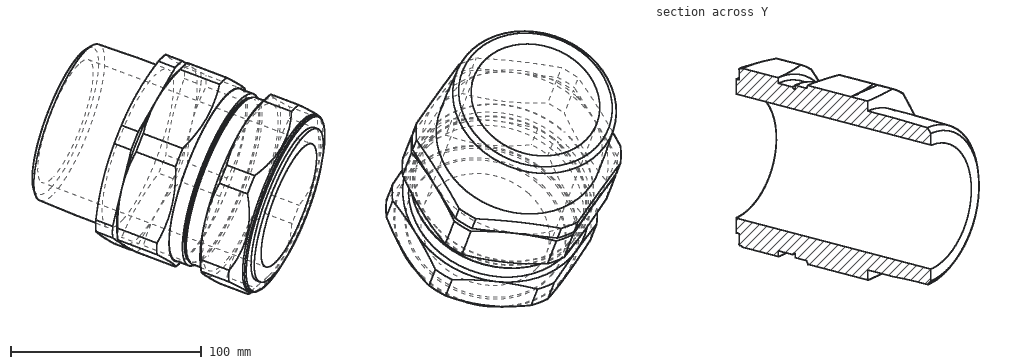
import cadquery as cq
import math


TOTAL_LENGTH = 129.5
TAPER_END = 25.0
FLANGE_START = 41.9
BODY_NUT_START = 53.0
BODY_NUT_END = 82.7
COLLAR_END = 90.3
NECK_CHAMFER_LENGTH = 1.0
NECK_START = 92.0
CAP_NUT_START = 101.3
CAP_NUT_END = 127.6

BORE_DIAMETER = 69.0
SPIGOT_DIAMETER = 89.0
TAPER_TIP_DIAMETER = 87.8
TIP_CHAMFER_LENGTH = 2.3
TIP_FACE_DIAMETER = 82.4

COLLAR_DIAMETER = 96.5
NECK_DIAMETER = 93.8
GROOVE_DIAMETER = NECK_DIAMETER - 2 * NECK_CHAMFER_LENGTH
SEAL_DIAMETER = 86.0

HEXAGON_SIDES = 6
ACROSS_FLATS = 100.0
CORNER_DIAMETER = 110.0
FLANGE_CHAMFER_ANGLE = 15.0
NUT_CHAMFER_ANGLE = 30.0

BODY_NUT_REAR_CHAMFER_START = 78.7
BODY_NUT_REAR_DIAMETER = 97.2
CAP_CHAMFER_START = 120.4
CAP_RIM_DIAMETER = 99.2
CAP_RIM_START = CAP_CHAMFER_START + (CORNER_DIAMETER - CAP_RIM_DIAMETER) / 2
CAP_EDGE_CHAMFER = 0.7


def turned(outline):
    """Solid of revolution about X; outline lists (x, diameter) from front to rear."""
    points = [(x, diameter / 2) for x, diameter in outline]
    first_x = points[0][0]
    last_x = points[-1][0]
    profile = cq.Workplane("XZ").polyline([(first_x, 0)] + points + [(last_x, 0)]).close()
    return profile.revolve(360, (0, 0, 0), (1, 0, 0))


def hexagon(start, end):
    """Hexagonal prism along X with two corners on the Y axis."""
    corner_circle = ACROSS_FLATS / math.cos(math.pi / HEXAGON_SIDES)
    plane = cq.Workplane("YZ", origin=(start, 0, 0))
    return plane.polygon(HEXAGON_SIDES, corner_circle).extrude(end - start)


def front_chamfer_length(angle):
    """Axial length of a chamfer running from the flats out to the turned corners."""
    return (CORNER_DIAMETER - ACROSS_FLATS) / 2 * math.tan(math.radians(angle))


def make_spigot():
    return turned([
        (0, TIP_FACE_DIAMETER),
        (TIP_CHAMFER_LENGTH, TAPER_TIP_DIAMETER),
        (TAPER_END, SPIGOT_DIAMETER),
        (FLANGE_START, SPIGOT_DIAMETER),
    ])


def make_flange():
    envelope = turned([
        (FLANGE_START, ACROSS_FLATS),
        (FLANGE_START + front_chamfer_length(FLANGE_CHAMFER_ANGLE), CORNER_DIAMETER),
        (BODY_NUT_START, CORNER_DIAMETER),
    ])
    return hexagon(FLANGE_START, BODY_NUT_START).intersect(envelope)


def make_body_nut():
    envelope = turned([
        (BODY_NUT_START, ACROSS_FLATS),
        (BODY_NUT_START + front_chamfer_length(NUT_CHAMFER_ANGLE), CORNER_DIAMETER),
        (BODY_NUT_REAR_CHAMFER_START, CORNER_DIAMETER),
        (BODY_NUT_END, BODY_NUT_REAR_DIAMETER),
    ])
    return hexagon(BODY_NUT_START, BODY_NUT_END).intersect(envelope)


def make_collar_and_neck():
    return turned([
        (BODY_NUT_END, COLLAR_DIAMETER),
        (COLLAR_END, COLLAR_DIAMETER),
        (COLLAR_END, GROOVE_DIAMETER),
        (NECK_START - NECK_CHAMFER_LENGTH, GROOVE_DIAMETER),
        (NECK_START, NECK_DIAMETER),
        (CAP_NUT_START, NECK_DIAMETER),
    ])


def make_cap_nut():
    envelope = turned([
        (CAP_NUT_START, ACROSS_FLATS),
        (CAP_NUT_START + front_chamfer_length(NUT_CHAMFER_ANGLE), CORNER_DIAMETER),
        (CAP_CHAMFER_START, CORNER_DIAMETER),
        (CAP_RIM_START, CAP_RIM_DIAMETER),
        (CAP_NUT_END, CAP_RIM_DIAMETER),
    ])
    envelope = envelope.faces(">X").edges().chamfer(CAP_EDGE_CHAMFER)
    return hexagon(CAP_NUT_START, CAP_NUT_END).intersect(envelope)


def make_seal():
    return turned([(CAP_NUT_END, SEAL_DIAMETER), (TOTAL_LENGTH, SEAL_DIAMETER)])


def make_bore():
    return turned([(0, BORE_DIAMETER), (TOTAL_LENGTH, BORE_DIAMETER)])


gland = make_spigot()
for section in (make_flange(), make_body_nut(), make_collar_and_neck(), make_cap_nut(), make_seal()):
    gland = gland.union(section)

gland = gland.cut(make_bore())
result = gland